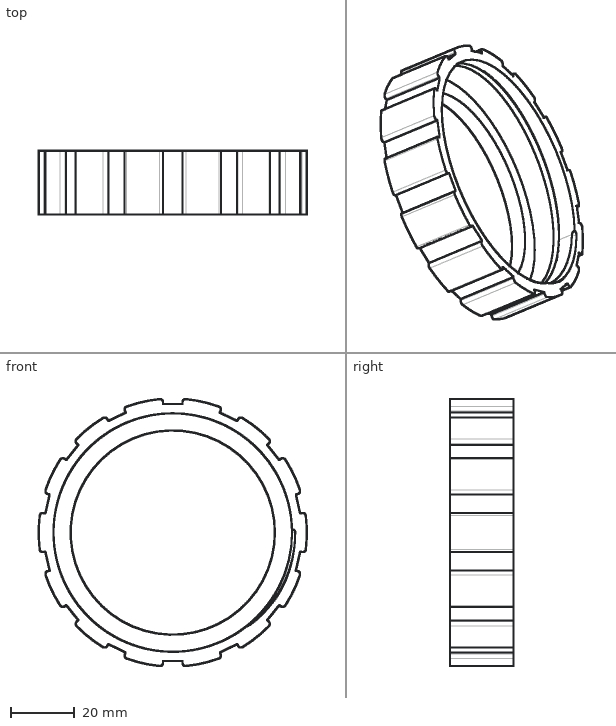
import cadquery as cq

outer_diameter = 83.9
ring_width = 20.0
lip_diameter = 63.8
bore_diameter = 74.6
bore_depth = 15.0

notch_count = 14
notch_width = 6.05
notch_floor_radius = 40.2
notch_edge_radius = 1.0

thread_pitch = 7.0
thread_turns = 1.5
groove_radius = 1.0


def disc(diameter, depth):
    """Solid disc from the front face to the given depth along +Y."""
    return cq.Workplane("XZ").circle(diameter / 2).extrude(-depth)


def grip_notch(angle):
    """Cutter for one notch, turned about the ring axis from +Z."""
    height = 2 * (outer_diameter / 2 - notch_floor_radius)
    cutter = (
        cq.Workplane("XZ")
        .center(0, outer_diameter / 2)
        .rect(notch_width, height)
        .extrude(-ring_width)
    )
    return cutter.rotate((0, 0, 0), (0, 1, 0), angle)


def grip_body():
    """Notched disc with rounded outer notch edges."""
    body = disc(outer_diameter, ring_width)
    for index in range(notch_count):
        body = body.cut(grip_notch(index * 360 / notch_count))
    corner_radius = (notch_floor_radius**2 + (notch_width / 2) ** 2) ** 0.5
    core_radius = (corner_radius + outer_diameter / 2) / 2
    core = disc(2 * core_radius, ring_width)
    rim_edges = [
        edge
        for edge in body.edges("|Y").vals()
        if not core.val().isInside(edge.Center())
    ]
    return body.newObject(rim_edges).fillet(notch_edge_radius)


def thread_groove():
    """Helical round cutter with a ball-shaped start at +X on the front face."""
    bore_radius = bore_diameter / 2
    path = cq.Wire.makeHelix(thread_pitch, thread_pitch * thread_turns, bore_radius)
    cutter = (
        cq.Workplane("XZ")
        .center(bore_radius, 0)
        .circle(groove_radius)
        .sweep(cq.Workplane(path), isFrenet=True)
    )
    ball = cq.Workplane("XY").sphere(groove_radius).translate((bore_radius, 0, 0))
    cutter = cutter.union(ball)
    return cutter.rotate((0, 0, 0), (1, 0, 0), -90)


result = (
    grip_body()
    .cut(disc(lip_diameter, ring_width))
    .cut(disc(bore_diameter, bore_depth))
    .cut(thread_groove())
)